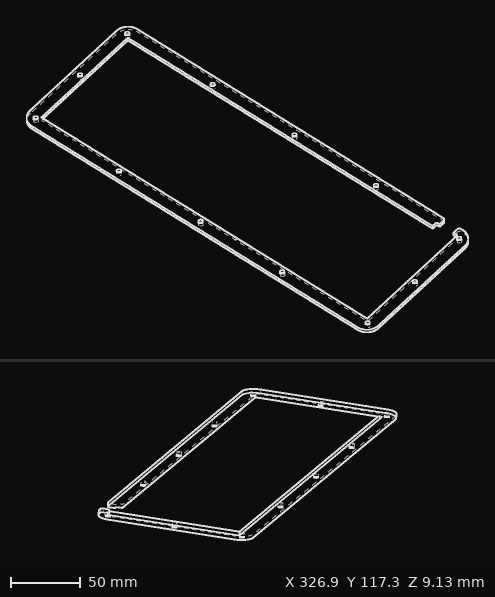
import cadquery as cq

length = 326.85
width = 117.3
thickness = 3.0
tilt_angle = 3.0
corner_radius = 10.5
rail_width = 10.6

hole_diameter = 3.3
corner_hole_inset = 7.7
side_hole_inset = 6.4
long_side_hole_pitch = 76.65

gap_width = 13.0
gap_right_inset = 14.4
tab_depth = 6.2
left_tab_length = 2.8
tab_tip_radius = 1.5
tab_root_radius = 0.5

half_length = length / 2
half_width = width / 2
gap_right = half_length - gap_right_inset
gap_left = gap_right - gap_width
left_rail_end = gap_left - left_tab_length
frame_inner_right = half_length - rail_width


def make_frame():
    """Flat rectangular ring, round outside corners and sharp inside corners."""
    outer = cq.Workplane("XY").rect(length, width).extrude(thickness)
    outer = outer.edges("|Z").fillet(corner_radius)
    window = (
        cq.Workplane("XY")
        .rect(length - 2 * rail_width, width - 2 * rail_width)
        .extrude(thickness)
    )
    return outer.cut(window)


def cut_gap(frame):
    """Break the back rail, leaving a short tab along its outer side at each end."""
    tab_inner_y = half_width - tab_depth
    rail_inner_y = half_width - rail_width
    tip_y = half_width - tab_tip_radius
    root_y = tab_inner_y - tab_root_radius
    gap = (
        cq.Workplane("XY")
        .moveTo(left_rail_end, rail_inner_y)
        .lineTo(frame_inner_right, rail_inner_y)
        .lineTo(frame_inner_right, root_y)
        .radiusArc((frame_inner_right - tab_root_radius, tab_inner_y), -tab_root_radius)
        .lineTo(gap_right, tab_inner_y)
        .lineTo(gap_right, tip_y)
        .radiusArc((gap_right + tab_tip_radius, half_width), tab_tip_radius)
        .lineTo(gap_left - tab_tip_radius, half_width)
        .radiusArc((gap_left, tip_y), tab_tip_radius)
        .lineTo(gap_left, tab_inner_y)
        .lineTo(left_rail_end + tab_root_radius, tab_inner_y)
        .radiusArc((left_rail_end, root_y), -tab_root_radius)
        .close()
        .extrude(thickness)
    )
    return frame.cut(gap)


def drill_holes(frame):
    """One hole in each corner, three along each long rail, one in each short rail."""
    centers = []
    for side in (-1, 1):
        for end in (-1, 1):
            corner_x = end * (half_length - corner_hole_inset)
            centers.append((corner_x, side * (half_width - corner_hole_inset)))
        for step in (-1, 0, 1):
            centers.append((step * long_side_hole_pitch, side * (half_width - side_hole_inset)))
        centers.append((side * (half_length - side_hole_inset), 0))
    holes = cq.Workplane("XY").pushPoints(centers).circle(hole_diameter / 2).extrude(thickness)
    return frame.cut(holes)


flat_frame = drill_holes(cut_gap(make_frame()))

result = flat_frame.rotate((0, 0, 0), (1, 0, 0), tilt_angle)